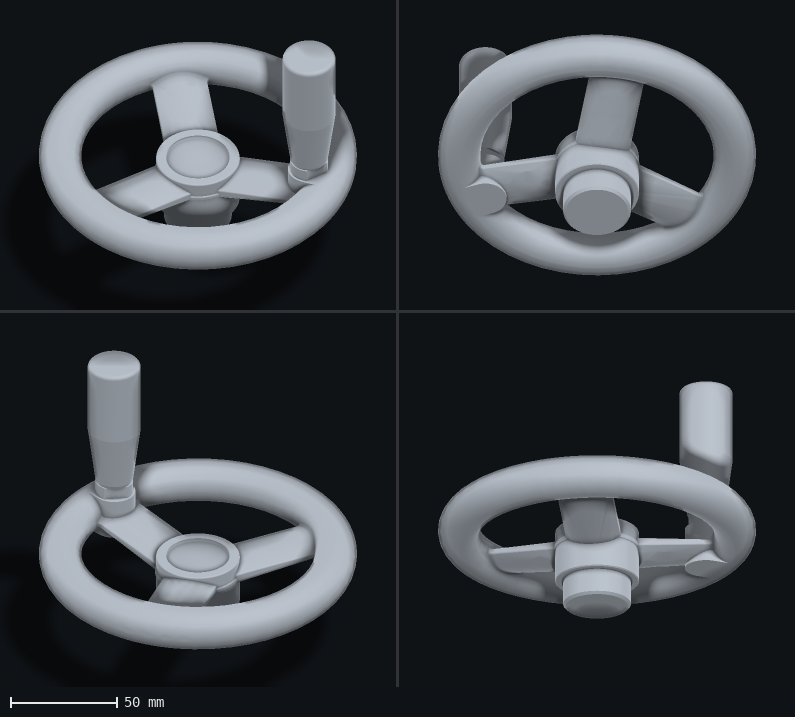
import cadquery as cq
import math


wheel_diameter = 150.0
rim_thickness = 20.0
rim_tube_radius = rim_thickness / 2
rim_centre_radius = wheel_diameter / 2 - rim_tube_radius
rim_level = 38.9

hub_diameter = 39.5
hub_radius = hub_diameter / 2
hub_top = 38.1
hub_bottom_chamfer = 0.5
hub_top_fillet = 0.8
stub_diameter = 32.0
stub_length = 12.5
stub_chamfer = 1.2
recess_diameter = 30.0
recess_depth = 1.5
recess_floor_fillet = 1.0

collar_diameter = hub_diameter + 1.0
collar_bottom = 28.0
collar_height = 3.0
collar_fillet = 1.0

spoke_count = 3
spoke_width = 26.0
spoke_start = 10.0
spoke_end = 61.0
top_ridge_at_hub = 36.4
top_slope = 0.15
top_crown = 3.3
bottom_ridge_at_hub = 23.7
bottom_slope = 0.245
bottom_crown_start = 6.8
bottom_crown_end = 3.5
spoke_edge_fillet = 0.9
spoke_rim_fillet = 1.5
joint_search_margin = 5.0

handle_offset = 56.0
boss_width = 20.0
boss_end_inset = 0.02
boss_half_height = rim_tube_radius - boss_end_inset

neck_diameter = 18.0
neck_across_flats = 14.0
flat_direction = -38.0
neck_top = 55.0

handle_diameter = 25.0
handle_foot_diameter = 18.0
handle_shoulder = 83.8
handle_top = 120.1
handle_top_fillet = 2.0
handle_foot_chamfer_height = 1.6
handle_foot_chamfer_width = 0.8


def disc(diameter, bottom, top):
    """Upright cylinder on the wheel axis."""
    return cq.Workplane("XY").workplane(offset=bottom).circle(diameter / 2).extrude(top - bottom)


def make_rim():
    section = cq.Workplane("XZ").center(rim_centre_radius, rim_level).circle(rim_tube_radius)
    return section.revolve(360, (-rim_centre_radius, 0), (-rim_centre_radius, 1))


def spoke_section(distance, bottom_crown):
    """Closed lens-shaped wire across a spoke along +X."""
    half_width = spoke_width / 2
    run = distance - hub_radius
    top_ridge = top_ridge_at_hub + top_slope * run
    bottom_ridge = bottom_ridge_at_hub + bottom_slope * run
    top_edge = top_ridge - top_crown
    bottom_edge = bottom_ridge + bottom_crown
    section = (
        cq.Workplane("YZ", origin=(distance, 0, 0))
        .moveTo(-half_width, bottom_edge)
        .threePointArc((0, bottom_ridge), (half_width, bottom_edge))
        .lineTo(half_width, top_edge)
        .threePointArc((0, top_ridge), (-half_width, top_edge))
        .close()
    )
    return section.val()


def make_spoke():
    sections = [
        spoke_section(spoke_start, bottom_crown_start),
        spoke_section(spoke_end, bottom_crown_end),
    ]
    spoke = cq.Workplane(cq.Solid.makeLoft(sections, True))
    return spoke.edges("<Y or >Y").edges("not(<X or >X)").fillet(spoke_edge_fillet)


def make_hub():
    body = disc(hub_diameter, stub_length, hub_top)
    body = body.edges("<Z").chamfer(hub_bottom_chamfer).edges(">Z").fillet(hub_top_fillet)
    stub = disc(stub_diameter, 0, stub_length).edges("<Z").chamfer(stub_chamfer)
    collar = disc(collar_diameter, collar_bottom, collar_bottom + collar_height)
    collar = collar.edges().fillet(collar_fillet)
    return body.union(stub).union(collar)


def make_recess():
    """Round pocket cutter with a rounded floor corner."""
    recess = disc(recess_diameter, hub_top - recess_depth, hub_top)
    return recess.edges("<Z").fillet(recess_floor_fillet)


def is_joint(edge):
    """True for an edge where a spoke runs into the inner side of the rim."""
    centre = edge.Center()
    reach = math.hypot(centre.x, centre.y)
    rim_inner_radius = rim_centre_radius - rim_tube_radius
    return abs(reach - rim_inner_radius) < joint_search_margin


def make_wheel():
    wheel = make_rim()
    spoke = make_spoke()
    for index in range(spoke_count):
        wheel = wheel.union(spoke.rotate((0, 0, 0), (0, 0, 1), index * 360 / spoke_count))
    joints = [edge for edge in wheel.edges().vals() if is_joint(edge)]
    wheel = wheel.newObject(joints).fillet(spoke_rim_fillet)
    return wheel.union(make_hub()).cut(make_recess())


def make_boss():
    """Upright boss, round toward the hub and straight-sided into the rim."""
    height = 2 * boss_half_height
    base = cq.Workplane("XY").workplane(offset=rim_level - boss_half_height)
    base = base.center(handle_offset, 0)
    run = rim_centre_radius - handle_offset
    nose = base.circle(boss_width / 2).extrude(height)
    return nose.union(base.center(run / 2, 0).rect(run, boss_width).extrude(height))


def make_neck():
    height = neck_top - rim_level
    neck = cq.Workplane("XY").circle(neck_diameter / 2).extrude(height)
    flats = cq.Workplane("XY").rect(neck_across_flats, 2 * neck_diameter).extrude(height)
    flats = flats.rotate((0, 0, 0), (0, 0, 1), flat_direction)
    return neck.intersect(flats).translate((handle_offset, 0, rim_level))


def make_handle():
    foot_radius = handle_foot_diameter / 2
    grip_radius = handle_diameter / 2
    corner = handle_top_fillet * (1 - math.sqrt(0.5))
    profile = (
        cq.Workplane("XZ")
        .moveTo(0, neck_top)
        .lineTo(foot_radius - handle_foot_chamfer_width, neck_top)
        .lineTo(foot_radius, neck_top + handle_foot_chamfer_height)
        .lineTo(grip_radius, handle_shoulder)
        .lineTo(grip_radius, handle_top - handle_top_fillet)
        .threePointArc(
            (grip_radius - corner, handle_top - corner),
            (grip_radius - handle_top_fillet, handle_top),
        )
        .lineTo(0, handle_top)
        .close()
    )
    return profile.revolve(360, (0, 0), (0, 1)).translate((handle_offset, 0, 0))


result = make_wheel().union(make_boss()).union(make_neck()).union(make_handle())